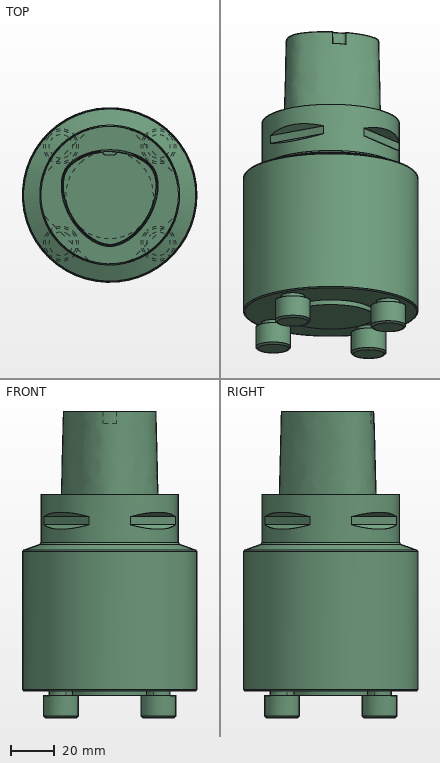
import cadquery as cq
import math

head_top_z = 10.1
body_bottom_z = 12.4
cone_bottom_z = 76.8
cone_top_z = 79.5
collar_top_z = 102.4
stem_top_z = 140.4

body_diameter = 80.0
body_edge_chamfer = 0.5
collar_diameter = 63.0
collar_root_width = 0.5
collar_root_height = 0.8

stem_base_diameter = 44.4
stem_taper = 1 / 20
lobe_eccentricity = 1.4
lobe_count = 3
outline_points = 48
outline_start = 90.0

notch_width = 6.2
notch_depth = 1.4
notch_height = 5.6
notch_corner_radius = 1.1

slot_count = 4
slot_floor_radius = 28.0
slot_floor_height = 3.7
slot_center_z = 90.3
slot_flank_angle = 30.0

disc_diameter = 40.0
screw_count = 4
screw_offset = 22.3
head_diameter = 16.0
shank_diameter = 10.8
head_chamfer = 0.8

first_diagonal = 45.0


def cylinder(diameter, bottom_z, top_z):
    return cq.Workplane("XY").workplane(offset=bottom_z).circle(diameter / 2).extrude(top_z - bottom_z)


def make_body():
    body_radius = body_diameter / 2
    collar_radius = collar_diameter / 2
    profile = (
        cq.Workplane("XZ")
        .moveTo(0, body_bottom_z)
        .lineTo(body_radius - body_edge_chamfer, body_bottom_z)
        .lineTo(body_radius, body_bottom_z + body_edge_chamfer)
        .lineTo(body_radius, cone_bottom_z - body_edge_chamfer)
        .lineTo(body_radius - body_edge_chamfer, cone_bottom_z)
        .lineTo(collar_radius + collar_root_width, cone_top_z)
        .lineTo(collar_radius, cone_top_z + collar_root_height)
        .lineTo(collar_radius, collar_top_z)
        .lineTo(0, collar_top_z)
        .close()
    )
    return profile.revolve(360, (0, 0, 0), (0, 1, 0))


def lobed_outline(diameter):
    """Points of the constant-width curve whose support is d/2 + e*sin(3*angle)."""
    points = []
    for i in range(outline_points):
        angle = math.radians(outline_start + 360 * i / outline_points)
        support = diameter / 2 + lobe_eccentricity * math.sin(lobe_count * angle)
        slope = lobe_count * lobe_eccentricity * math.cos(lobe_count * angle)
        x = support * math.cos(angle) - slope * math.sin(angle)
        y = support * math.sin(angle) + slope * math.cos(angle)
        points.append((x, y))
    return points


def make_stem():
    height = stem_top_z - collar_top_z
    top_diameter = stem_base_diameter - stem_taper * height
    stem = (
        cq.Workplane("XY")
        .workplane(offset=collar_top_z)
        .spline(lobed_outline(stem_base_diameter), periodic=True)
        .close()
        .workplane(offset=height)
        .spline(lobed_outline(top_diameter), periodic=True)
        .close()
        .loft(ruled=True)
    )
    flat_y = top_diameter / 2 - lobe_eccentricity
    notch = (
        cq.Workplane("XY")
        .box(notch_width, 2 * notch_depth, notch_height, centered=(True, True, False))
        .edges("|Z and <Y")
        .fillet(notch_corner_radius)
        .translate((0, flat_y, stem_top_z - notch_height))
    )
    return stem.cut(notch)


def make_slot():
    """Cutter along +X with a flat floor and flanks that open outward."""
    outer_radius = collar_diameter / 2 + 1.4
    floor_half = slot_floor_height / 2
    flank_rise = (outer_radius - slot_floor_radius) * math.tan(math.radians(slot_flank_angle))
    mouth_half = floor_half + flank_rise
    return (
        cq.Workplane("XZ")
        .moveTo(slot_floor_radius, slot_center_z - floor_half)
        .lineTo(outer_radius, slot_center_z - mouth_half)
        .lineTo(outer_radius, slot_center_z + mouth_half)
        .lineTo(slot_floor_radius, slot_center_z + floor_half)
        .close()
        .extrude(collar_diameter / 2, both=True)
    )


def make_screw():
    head = cylinder(head_diameter, 0, head_top_z).faces("<Z").chamfer(head_chamfer)
    shank = cylinder(shank_diameter, head_top_z, body_bottom_z)
    return head.union(shank)


result = make_body().union(make_stem())
result = result.union(cylinder(disc_diameter, head_top_z, body_bottom_z))

for i in range(slot_count):
    slot_angle = first_diagonal + 360 * i / slot_count
    result = result.cut(make_slot().rotate((0, 0, 0), (0, 0, 1), slot_angle))

screw_circle_radius = screw_offset * math.sqrt(2)
for i in range(screw_count):
    screw_angle = first_diagonal + 360 * i / screw_count
    screw = make_screw().translate((screw_circle_radius, 0, 0))
    result = result.union(screw.rotate((0, 0, 0), (0, 0, 1), screw_angle))